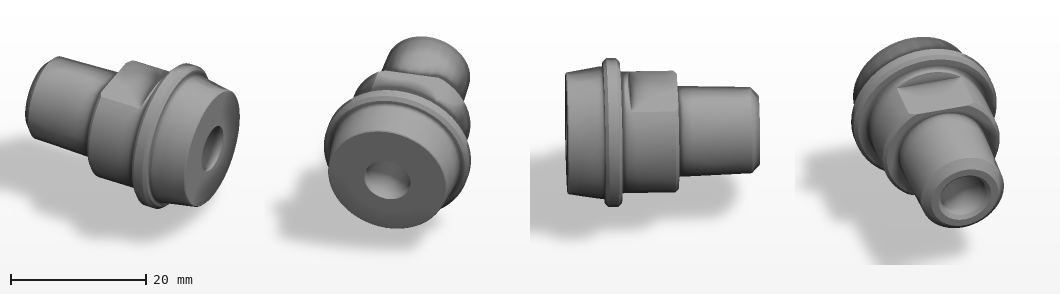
import cadquery as cq
import math

length = 28.5
edge_chamfer = 0.5

tip_radius = 5.13
tip_chamfer_length = 1.2
spigot_start_radius = 6.38
spigot_end_radius = 6.73

body_start = 12.05
body_radius = 9.0
flat_half_width = 7.5
flat_end = 19.0
flat_end_slope = 15.0

flange_start = 20.5
flange_end = 23.0
flange_radius = 11.0
root_fillet = 0.35

cone_start_radius = 9.83
cone_root_length = 0.35
cone_root_height = 0.23
cone_end_radius = 9.0
end_chamfer = 0.15

bore_diameter = 7.0


def turned_body():
    arc_middle = root_fillet * math.sqrt(0.5)
    profile = (
        cq.Workplane("XY")
        .lineTo(0, tip_radius)
        .lineTo(tip_chamfer_length, spigot_start_radius)
        .lineTo(body_start, spigot_end_radius)
        .lineTo(body_start, body_radius - edge_chamfer)
        .lineTo(body_start + edge_chamfer, body_radius)
        .lineTo(flange_start - root_fillet, body_radius)
        .threePointArc(
            (flange_start - root_fillet + arc_middle, body_radius + root_fillet - arc_middle),
            (flange_start, body_radius + root_fillet),
        )
        .lineTo(flange_start, flange_radius - edge_chamfer)
        .lineTo(flange_start + edge_chamfer, flange_radius)
        .lineTo(flange_end - edge_chamfer, flange_radius)
        .lineTo(flange_end, flange_radius - edge_chamfer)
        .lineTo(flange_end, cone_start_radius + cone_root_height)
        .tangentArcPoint((flange_end + cone_root_length, cone_start_radius), relative=False)
        .lineTo(length - end_chamfer, cone_end_radius)
        .lineTo(length, cone_end_radius - end_chamfer)
        .lineTo(length, 0)
        .close()
    )
    return profile.revolve(360, (0, 0, 0), (1, 0, 0))


def wrench_flat_cutter(side):
    """Block above (side = 1) or below (side = -1) the body, with a sloped end."""
    outer = body_radius + root_fillet
    slope_run = (outer - flat_half_width) * math.tan(math.radians(flat_end_slope))
    return (
        cq.Workplane("XZ")
        .moveTo(body_start, side * flat_half_width)
        .lineTo(flat_end, side * flat_half_width)
        .lineTo(flat_end + slope_run, side * outer)
        .lineTo(body_start, side * outer)
        .close()
        .extrude(body_radius, both=True)
    )


def bore_cutter():
    bore_radius = bore_diameter / 2
    return (
        cq.Workplane("XY")
        .lineTo(0, bore_radius + edge_chamfer)
        .lineTo(edge_chamfer, bore_radius)
        .lineTo(length, bore_radius)
        .lineTo(length, 0)
        .close()
        .revolve(360, (0, 0, 0), (1, 0, 0))
    )


result = turned_body()
for side in (1, -1):
    result = result.cut(wrench_flat_cutter(side))
result = result.cut(bore_cutter())